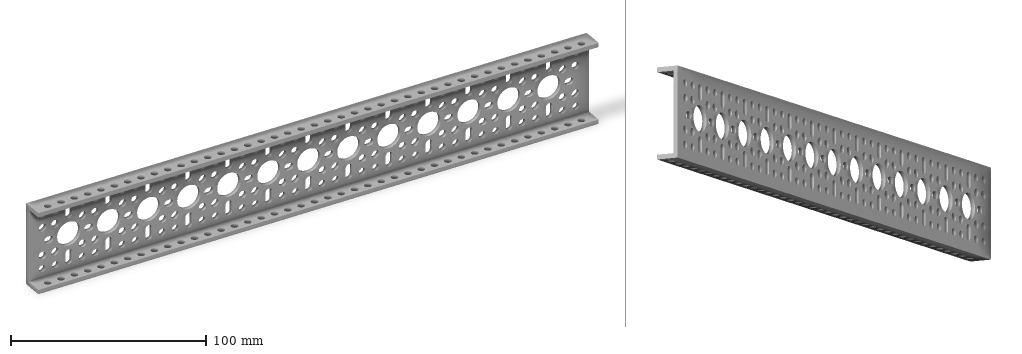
import cadquery as cq
import math

length = 336.0
height = 48.0
flange_width = 12.0
thickness = 2.5

pitch = 8.0
bore_pitch = 3 * pitch
bore_diameter = 14.0
hole_diameter = 4.0
bore_count = round(length / bore_pitch) - 1
flange_hole_count = round(length / pitch) - 1
flange_hole_x = pitch

hole_row_z = 2 * pitch

inner_bolt_radius = pitch * math.sqrt(2)
tall_slot_length = hole_row_z - inner_bolt_radius + hole_diameter
tall_slot_z = (hole_row_z + inner_bolt_radius) / 2
link_slot_length = bore_pitch - 2 * inner_bolt_radius + hole_diameter

outer_bolt_radius = bore_pitch / 2
diagonal_slot_length = outer_bolt_radius - inner_bolt_radius + hole_diameter
diagonal_slot_radius = (outer_bolt_radius + inner_bolt_radius) / 2


def centred_positions(count, spacing):
    """Evenly spaced positions along the length, centred on zero."""
    return [(i - (count - 1) / 2) * spacing for i in range(count)]


def make_channel():
    """Plain U channel with its web's outer face at X = 0."""
    block = cq.Workplane("XY").box(flange_width, length, height, centered=(False, True, True))
    cavity = (
        cq.Workplane("XY")
        .box(flange_width, length, height - 2 * thickness, centered=(False, True, True))
        .translate((thickness, 0, 0))
    )
    return block.cut(cavity)


def web_plane():
    """Sketch plane on the web's outer face, with local axes along Y and Z."""
    return cq.Workplane("YZ")


def cut_bores(part, bore_ys):
    """Large round openings along the centre line of the web."""
    points = [(y, 0) for y in bore_ys]
    return part.cut(web_plane().pushPoints(points).circle(bore_diameter / 2).extrude(thickness))


def cut_web_holes(part, bore_ys):
    """Small round holes near both flanges, in the columns on each side of every bore and at the ends."""
    end_column = length / 2 - pitch
    columns = [-end_column, end_column]
    for y in bore_ys:
        columns += [y - pitch, y + pitch]
    points = [(y, z) for y in columns for z in (-hole_row_z, hole_row_z)]
    return part.cut(web_plane().pushPoints(points).circle(hole_diameter / 2).extrude(thickness))


def cut_diagonal_slots(part):
    """Short slots pointing at 45 degrees away from every bore, and inward from the ends of the channel."""
    offset = diagonal_slot_radius / math.sqrt(2)
    centres = centred_positions(bore_count + 2, bore_pitch)
    left_sides = [y - offset for y in centres[1:]]
    right_sides = [y + offset for y in centres[:-1]]
    for slope in (-1, 1):
        points = [(y, -slope * offset) for y in left_sides]
        points += [(y, slope * offset) for y in right_sides]
        slots = web_plane().pushPoints(points).slot2D(diagonal_slot_length, hole_diameter, slope * 45)
        part = part.cut(slots.extrude(thickness))
    return part


def cut_tall_slots(part, bore_ys):
    """Slots along Z, above and below every bore."""
    points = [(y, z) for y in bore_ys for z in (-tall_slot_z, tall_slot_z)]
    slots = web_plane().pushPoints(points).slot2D(tall_slot_length, hole_diameter, 90)
    return part.cut(slots.extrude(thickness))


def cut_link_slots(part):
    """Short slots along Y on the centre line, between the bores and beyond the end bores."""
    points = [(y, 0) for y in centred_positions(bore_count + 1, bore_pitch)]
    slots = web_plane().pushPoints(points).slot2D(link_slot_length, hole_diameter)
    return part.cut(slots.extrude(thickness))


def cut_flange_holes(part):
    """One row of round holes through both flanges."""
    points = [(flange_hole_x, y) for y in centred_positions(flange_hole_count, pitch)]
    holes = cq.Workplane("XY").pushPoints(points).circle(hole_diameter / 2).extrude(height / 2, both=True)
    return part.cut(holes)


bore_positions = centred_positions(bore_count, bore_pitch)
result = make_channel()
result = cut_bores(result, bore_positions)
result = cut_web_holes(result, bore_positions)
result = cut_diagonal_slots(result)
result = cut_tall_slots(result, bore_positions)
result = cut_link_slots(result)
result = cut_flange_holes(result)